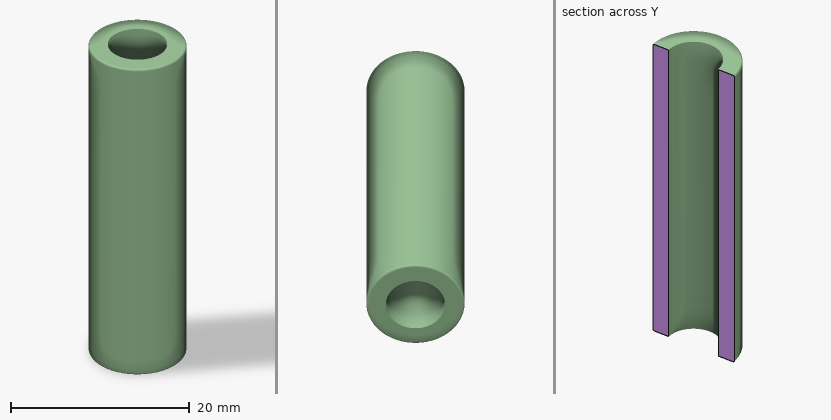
import cadquery as cq

length = 40.0
outer_diameter = 11.0
bore_diameter = 6.65
rim_radius = 0.25

bar = cq.Workplane("XY").circle(outer_diameter / 2).extrude(length)

rounded_bar = bar.faces("<Z or >Z").edges().fillet(rim_radius)
result = rounded_bar.faces(">Z").workplane().hole(bore_diameter)